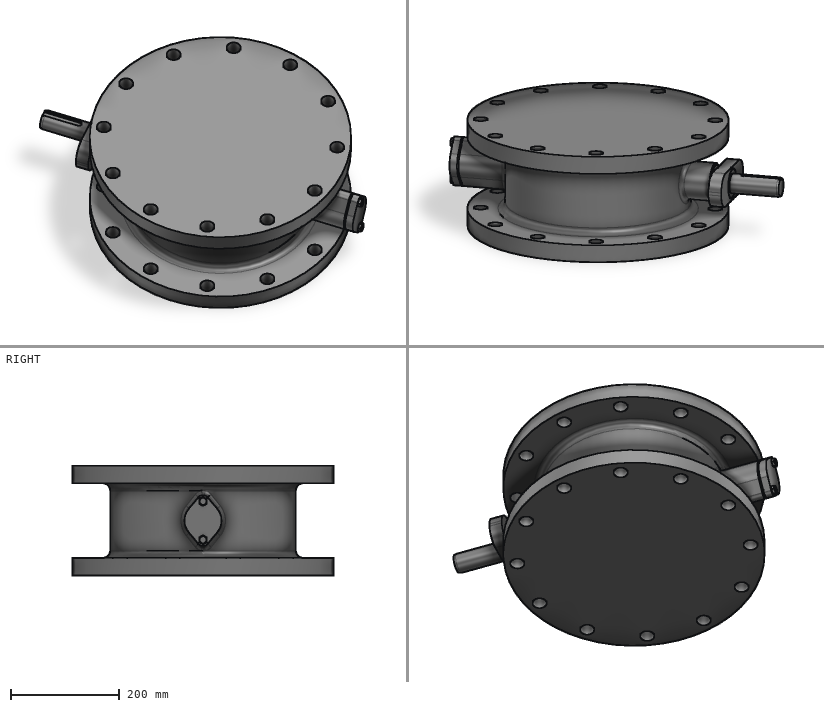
import cadquery as cq
import math

body_radius = 171.5
flange_radius = 241.0
flange_thickness = 33.0
overall_height = 203.0
flange_fillet = 13.0

hole_count = 12
hole_diameter = 26.0
hole_circle_radius = 216.5

drive_boss_radius = 35.5
drive_boss_end = 225.5
drive_boss_chamfer = 2.0
boss_fillet = 9.0
neck_radius = 31.5
plate_length = 147.5
plate_height = 64.0
plate_thickness = 25.0
plate_face = 257.5
plate_corner_radius = 29.0
ring_groove_outer_radius = 28.0
ring_groove_inner_radius = 26.5
ring_groove_depth = 3.0
notch_width = 5.0
notch_reach = 30.5
shaft_radius = 18.5
shaft_end = 351.0
shaft_chamfer_length = 4.5
shaft_chamfer_depth = 1.0
keyway_width = 10.0
keyway_length = 76.0
keyway_depth = 4.0

oval_centre_radius = 34.0
oval_tip_radius = 11.5
bolt_offset = 35.5
oval_boss_end = 257.5
cover_gap = 3.0
cover_thickness = 14.5
spacer_radius = 7.0
bolt_radius = 5.0
bolt_head_flats = 14.5
bolt_head_end = 281.5
bolt_head_chamfer = 2.0


def disc(radius, z_bottom, height):
    """Solid cylinder standing along Z."""
    return cq.Workplane("XY").workplane(offset=z_bottom).circle(radius).extrude(height)


def x_plane(x):
    """Plane across the X axis at x, local axes along Y and Z, extruding towards +X."""
    return cq.Workplane("YZ").workplane(offset=x)


def x_rod(radius, x_start, x_end, z=0):
    """Solid cylinder lying along X at height z."""
    return x_plane(x_start).center(0, z).circle(radius).extrude(x_end - x_start)


def oval(x_start, x_end):
    """Large centre arcs joined by tangent flats to a small tip around each bolt."""
    sine = (oval_centre_radius - oval_tip_radius) / bolt_offset
    cosine = math.sqrt(1 - sine**2)
    centre_y = oval_centre_radius * cosine
    centre_z = oval_centre_radius * sine
    tip_y = oval_tip_radius * cosine
    tip_z = bolt_offset + oval_tip_radius * sine
    tip_end = bolt_offset + oval_tip_radius
    return (
        x_plane(x_start)
        .moveTo(centre_y, -centre_z)
        .threePointArc((oval_centre_radius, 0), (centre_y, centre_z))
        .lineTo(tip_y, tip_z)
        .threePointArc((0, tip_end), (-tip_y, tip_z))
        .lineTo(-centre_y, centre_z)
        .threePointArc((-oval_centre_radius, 0), (-centre_y, -centre_z))
        .lineTo(-tip_y, -tip_z)
        .threePointArc((0, -tip_end), (tip_y, -tip_z))
        .close()
        .extrude(x_end - x_start)
    )


def make_flanged_barrel():
    """Barrel and both flanges, blended at the inner flange corners and drilled for bolts."""
    half_height = overall_height / 2
    barrel = disc(body_radius, -half_height, overall_height)
    barrel = barrel.union(disc(flange_radius, -half_height, flange_thickness))
    barrel = barrel.union(disc(flange_radius, half_height - flange_thickness, flange_thickness))
    barrel = barrel.edges(cq.selectors.RadiusNthSelector(0)).fillet(flange_fillet)
    holes = (
        cq.Workplane("XY")
        .workplane(offset=-half_height)
        .polarArray(hole_circle_radius, 180 / hole_count, 360, hole_count)
        .circle(hole_diameter / 2)
        .extrude(overall_height)
    )
    return barrel.cut(holes)


def add_bosses(barrel):
    """Add both side bosses and blend them where they leave the barrel."""
    drive_boss = x_rod(drive_boss_radius, -drive_boss_end, 0).faces("<X").chamfer(drive_boss_chamfer)
    body = barrel.union(drive_boss).union(oval(0, oval_boss_end))

    reach = body_radius + boss_fillet
    zone_top = bolt_offset + 2 * oval_tip_radius
    joint_zone = cq.selectors.BoxSelector(
        (-reach, -reach, -zone_top), (reach, reach, zone_top), boundingbox=True
    )
    return body.edges(joint_zone).fillet(boss_fillet)


def make_gland():
    """Oblong plate with a grooved outer face, joined to the drive boss by a round neck."""
    plate = (
        x_plane(-plate_face)
        .rect(plate_length, plate_height)
        .extrude(plate_thickness)
        .edges("|X")
        .fillet(plate_corner_radius)
    )
    groove_floor = ring_groove_depth - plate_face
    groove = x_rod(ring_groove_outer_radius, -plate_face, groove_floor)
    notches = x_plane(-plate_face).rect(notch_width, 2 * notch_reach).extrude(ring_groove_depth)
    groove = groove.union(notches).cut(x_rod(ring_groove_inner_radius, -plate_face, groove_floor))
    return plate.cut(groove).union(x_rod(neck_radius, plate_thickness - plate_face, -body_radius))


def make_shaft():
    """Chamfered drive shaft with a keyway cut along its top."""
    shaft = x_rod(shaft_radius, -shaft_end, -body_radius)
    shaft = shaft.faces("<X").chamfer(shaft_chamfer_length, shaft_chamfer_depth)
    arc_centre = keyway_length - keyway_width / 2 - shaft_end
    keyway = (
        cq.Workplane("XY")
        .workplane(offset=shaft_radius - keyway_depth)
        .moveTo(-shaft_end, -keyway_width / 2)
        .lineTo(arc_centre, -keyway_width / 2)
        .threePointArc((keyway_length - shaft_end, 0), (arc_centre, keyway_width / 2))
        .lineTo(-shaft_end, keyway_width / 2)
        .close()
        .extrude(shaft_radius)
    )
    return shaft.cut(keyway)


def make_bolt(z, cover_end):
    """Shank crossing the gap and cover, with a hex head whose outer corners are turned off."""
    corner_diameter = bolt_head_flats / math.cos(math.pi / 6)
    head = (
        x_plane(cover_end)
        .transformed(offset=(0, z), rotate=(0, 0, 90))
        .polygon(6, corner_diameter)
        .extrude(bolt_head_end - cover_end)
    )
    turned_blank = x_rod(corner_diameter / 2, cover_end, bolt_head_end, z)
    turned_blank = turned_blank.faces(">X").chamfer(bolt_head_chamfer)
    return head.intersect(turned_blank).union(x_rod(bolt_radius, oval_boss_end, cover_end, z))


def make_cover():
    """Oval cover on a central spacer, with a bolt through each tip."""
    cover_start = oval_boss_end + cover_gap
    cover_end = cover_start + cover_thickness
    cover = oval(cover_start, cover_end).union(x_rod(spacer_radius, oval_boss_end, cover_start))
    for z in (-bolt_offset, bolt_offset):
        cover = cover.union(make_bolt(z, cover_end))
    return cover


body = add_bosses(make_flanged_barrel())
result = body.union(make_gland()).union(make_shaft()).union(make_cover())